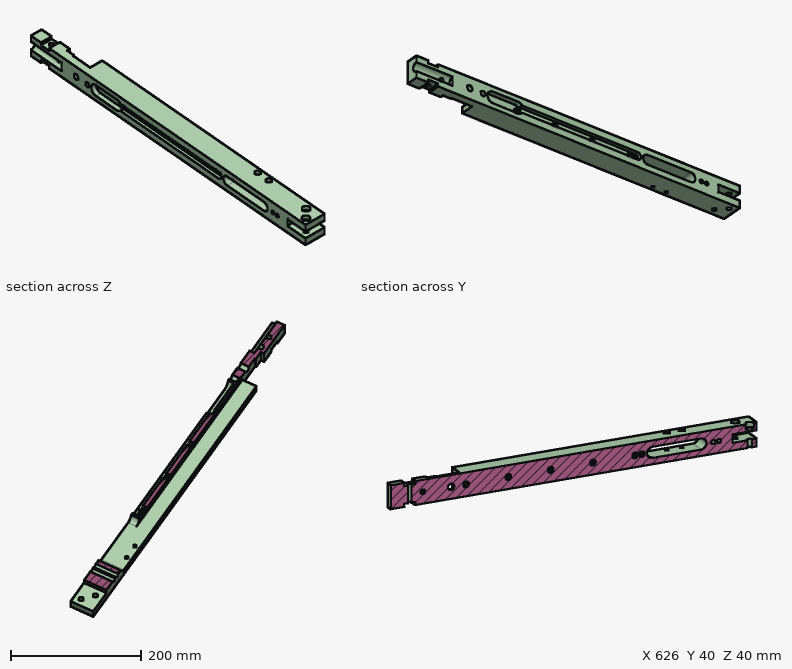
import cadquery as cq

LENGTH = 626.0
WIDTH = 40.0
HEIGHT = 40.0

TAB_LENGTH = 64.5
TAB_THICKNESS = 22.5
LEDGE_END = 79.5
LEDGE_THICKNESS = 17.0
WEB_THICKNESS = 15.0
STEP_END = 119.0

NOTCH_START = 23.0
NOTCH_LENGTH = 19.0
NOTCH_DEPTH = 5.0
NOTCH_HOLE_Y = 13.0
NOTCH_HOLE_DIAMETER = 7.0

GROOVE_LENGTH = 70.0
GROOVE_RADIUS = 8.0
GROOVE_HOLE_X = 55.0
GROOVE_HOLE_DIAMETER = 7.0
GROOVE_HOLE_DEPTH = 15.0

POCKET_START = 138.0
POCKET_END = 206.5
POCKET_HEIGHT = 21.0
CHANNEL_END = 434.5
CHANNEL_HEIGHT = 13.0
POCKET_DEPTH = 10.0
CHANNEL_DEPTH = 7.0

WINDOW_START = 439.0
WINDOW_END = 540.0
WINDOW_HEIGHT = 17.5

FORK_START = 585.0
FORK_GAP = 13.0

PIVOT_X = 103.0
PIVOT_DIAMETER = 10.0
SCREW_FIRST_X = 129.0
SCREW_ROW_END_X = 418.0
SCREW_COUNT = 5
SCREW_EXTRA_X = 429.5
SCREW_DIAMETER = 5.0
SCREW_HEAD_DIAMETER = 9.0
SCREW_HEAD_DEPTH = 12.0
PIN_POSITIONS = (551.5, 561.5)
PIN_DIAMETER = 6.0

SMALL_BOLT_POSITIONS = ((482.0, 32.0), (508.0, 32.0))
SMALL_BOLT_DIAMETER = 5.0
SMALL_BOLT_HEAD_DIAMETER = 10.0
FORK_BOLT_POSITIONS = ((597.0, 27.5), (614.0, 12.0))
FORK_BOLT_DIAMETER = 7.5
FORK_BOLT_HEAD_DIAMETER = 13.0
BOLT_HEAD_DEPTH = 8.0


def block(x_range, y_range, z_range):
    """Box given by its limits along each axis."""
    sizes = [high - low for low, high in (x_range, y_range, z_range)]
    corner = (x_range[0], y_range[0], z_range[0])
    return cq.Workplane("XY").box(*sizes, centered=False).translate(corner)


def hole_along_y(x, diameter, y_start=0.0, y_end=WIDTH):
    """Cylinder on the middle plane between two Y levels."""
    plane = cq.Workplane("XZ", origin=(x, y_start, 0))
    return plane.circle(diameter / 2).extrude(y_start - y_end)


def hole_along_z(x, y, diameter, z_start=-HEIGHT / 2, z_end=HEIGHT / 2):
    """Cylinder between two Z levels."""
    plane = cq.Workplane("XY", origin=(x, y, z_start))
    return plane.circle(diameter / 2).extrude(z_end - z_start)


def slot_along_x(x_start, x_end, height, y_start, y_end):
    """Round-ended slot on the middle plane between two Y levels."""
    middle = (x_start + x_end) / 2
    plane = cq.Workplane("XZ", origin=(middle, y_start, 0))
    return plane.slot2D(x_end - x_start, height).extrude(y_start - y_end)


def stepped_bar():
    """Bar outline with the tab, ledge and web stepped out of its back."""
    outline = [
        (0, 0),
        (LENGTH, 0),
        (LENGTH, WIDTH),
        (STEP_END, WIDTH),
        (STEP_END, WEB_THICKNESS),
        (LEDGE_END, WEB_THICKNESS),
        (LEDGE_END, LEDGE_THICKNESS),
        (TAB_LENGTH, LEDGE_THICKNESS),
        (TAB_LENGTH, TAB_THICKNESS),
        (0, TAB_THICKNESS),
    ]
    return cq.Workplane("XY").polyline(outline).close().extrude(HEIGHT / 2, both=True)


def cut_tab(bar):
    """Notches, groove and small holes of the tab."""
    notch_x = (NOTCH_START, NOTCH_START + NOTCH_LENGTH)
    notch_floor = HEIGHT / 2 - NOTCH_DEPTH
    bar = bar.cut(block(notch_x, (0, WIDTH), (notch_floor, HEIGHT / 2)))
    bar = bar.cut(block(notch_x, (0, WIDTH), (-HEIGHT / 2, -notch_floor)))
    notch_middle = NOTCH_START + NOTCH_LENGTH / 2
    bar = bar.cut(hole_along_z(notch_middle, NOTCH_HOLE_Y, NOTCH_HOLE_DIAMETER))
    bar = bar.cut(cq.Workplane("YZ").circle(GROOVE_RADIUS).extrude(GROOVE_LENGTH))
    return bar.cut(hole_along_y(GROOVE_HOLE_X, GROOVE_HOLE_DIAMETER, y_end=GROOVE_HOLE_DEPTH))


def cut_slots(bar):
    """Front pocket and channel, window, back slot and fork gap."""
    bar = bar.cut(slot_along_x(POCKET_START, POCKET_END, POCKET_HEIGHT, 0, POCKET_DEPTH))
    bar = bar.cut(slot_along_x(POCKET_START, CHANNEL_END, CHANNEL_HEIGHT, 0, CHANNEL_DEPTH))
    bar = bar.cut(slot_along_x(WINDOW_START, WINDOW_END, WINDOW_HEIGHT, 0, WIDTH))
    back_start = STEP_END - WINDOW_HEIGHT
    bar = bar.cut(slot_along_x(back_start, WINDOW_END, WINDOW_HEIGHT, WEB_THICKNESS, WIDTH))
    return bar.cut(block((FORK_START, LENGTH), (0, WIDTH), (-FORK_GAP / 2, FORK_GAP / 2)))


def cut_cross_holes(bar):
    """Pivot, counterbored screw and pin holes along Y."""
    bar = bar.cut(hole_along_y(PIVOT_X, PIVOT_DIAMETER))
    pitch = (SCREW_ROW_END_X - SCREW_FIRST_X) / (SCREW_COUNT - 1)
    screws = [SCREW_FIRST_X + pitch * i for i in range(SCREW_COUNT)]
    for x in screws + [SCREW_EXTRA_X]:
        bar = bar.cut(hole_along_y(x, SCREW_DIAMETER))
        bar = bar.cut(hole_along_y(x, SCREW_HEAD_DIAMETER, y_end=SCREW_HEAD_DEPTH))
    for x in PIN_POSITIONS:
        bar = bar.cut(hole_along_y(x, PIN_DIAMETER))
    return bar


def cut_bolt_holes(bar, positions, diameter, head_diameter):
    """Holes along Z, counterbored from the top."""
    for x, y in positions:
        bar = bar.cut(hole_along_z(x, y, diameter))
        bar = bar.cut(hole_along_z(x, y, head_diameter, z_start=HEIGHT / 2 - BOLT_HEAD_DEPTH))
    return bar


part = cut_cross_holes(cut_slots(cut_tab(stepped_bar())))
part = cut_bolt_holes(part, SMALL_BOLT_POSITIONS, SMALL_BOLT_DIAMETER, SMALL_BOLT_HEAD_DIAMETER)
result = cut_bolt_holes(part, FORK_BOLT_POSITIONS, FORK_BOLT_DIAMETER, FORK_BOLT_HEAD_DIAMETER)